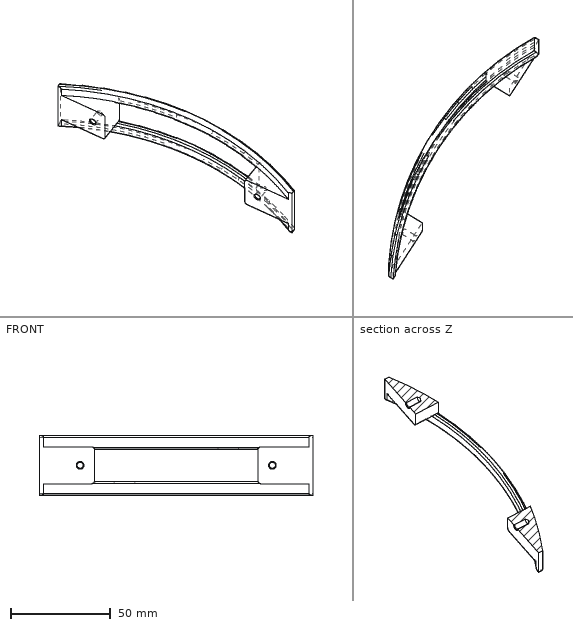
import cadquery as cq
import math

length = 137.0
depth = 19.7
height = 30.0

end_thickness = 2.6
band_thickness = 3.3
window_height = 16.0
rail_edge_radius = 1.0

foot_length = 27.7
foot_height = 18.5
foot_edge_radius = 1.6

hole_diameter = 3.0
mouth_diameter = 3.8
hole_depth = 6.8
hole_inset = 20.4
drill_tip_angle = 118.0

half_length = length / 2
rise = depth - end_thickness
outer_radius = (half_length**2 + rise**2) / (2 * rise)
inner_radius = outer_radius - band_thickness
arc_center_y = depth - outer_radius


def make_rail():
    """Upper rail: a rectangular section swept round the bow's axis, with all edges rounded."""
    rail_height = (height - window_height) / 2
    ring = cq.Workplane("XY").workplane(offset=window_height / 2)
    ring = ring.circle(outer_radius).circle(inner_radius).extrude(rail_height)
    ring = ring.edges("%CIRCLE").fillet(rail_edge_radius)
    ring = ring.translate((0, arc_center_y, 0))
    bounds = cq.Workplane("XY").box(length, depth, height, centered=(True, False, True))
    return ring.intersect(bounds)


def make_foot():
    """Left foot: a block rounded at its inner edges and capped by the outer arc."""
    block = cq.Workplane("XY").box(foot_length, depth, foot_height, centered=(False, False, True))
    block = block.edges("|Y and >X").fillet(foot_edge_radius)
    block = block.translate((-half_length, 0, 0))
    bow = cq.Workplane("XY").center(0, arc_center_y).circle(outer_radius)
    return block.intersect(bow.extrude(foot_height / 2, both=True))


def make_hole():
    """Left screw hole: a blind bore with a 45 degree countersink and a conical end."""
    radius = hole_diameter / 2
    tip = radius / math.tan(math.radians(drill_tip_angle / 2))
    mouth_radius = mouth_diameter / 2
    profile = [
        (0, 0),
        (mouth_radius, 0),
        (radius, mouth_radius - radius),
        (radius, hole_depth),
        (0, hole_depth + tip),
    ]
    hole = cq.Workplane("XY").polyline(profile).close().revolve(360, (0, 0), (0, 1))
    return hole.translate((hole_inset - half_length, 0, 0))


upper_rail = make_rail()
result = upper_rail.union(upper_rail.mirror("XY"))

drilled_foot = make_foot().cut(make_hole())
result = result.union(drilled_foot).union(drilled_foot.mirror("YZ"))